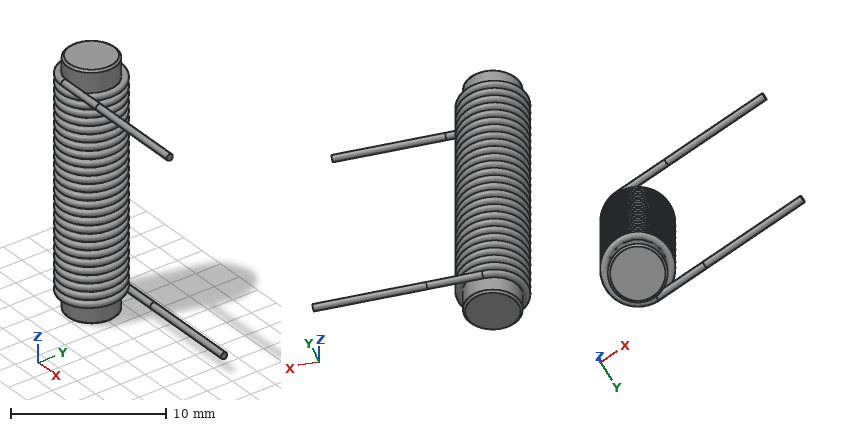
import cadquery as cq

core_length = 19.22
core_diameter = 3.86
core_chamfer = 0.15

wire_diameter = 0.5
full_turns = 26
turns = full_turns + 0.5
coil_height = 16.63
coil_radius = (core_diameter + wire_diameter) / 2
coil_pitch = coil_height / turns

root_length = 3.75
lead_reach = 11.4
tip_length = lead_reach - root_length


def make_core():
    rod = cq.Workplane("XY").circle(core_diameter / 2).extrude(core_length)
    rod = rod.translate((0, 0, -core_length / 2))
    return rod.edges().chamfer(core_chamfer)


def make_coil():
    """Sweep the wire section, kept in axial planes, up the helix from +Y to -Y."""
    helix = cq.Wire.makeHelix(coil_pitch, coil_height, coil_radius)
    section = cq.Workplane("XZ").center(coil_radius, 0).circle(wire_diameter / 2)
    winding = section.sweep(cq.Workplane(helix), isFrenet=True)
    winding = winding.rotate((0, 0, 0), (0, 0, 1), 90)
    return winding.translate((0, 0, -coil_height / 2))


def make_lead_piece(start_x, length, side):
    """Straight wire along +X; side is +1 for the lower +Y lead, -1 for the upper -Y lead."""
    start = (start_x, side * coil_radius, -side * coil_height / 2)
    return cq.Workplane("YZ", origin=start).circle(wire_diameter / 2).extrude(length)


core = make_core()
coil = make_coil()

lead_roots = []
lead_tips = []
for lead_side in (1, -1):
    lead_roots.append(make_lead_piece(0, root_length, lead_side).val())
    lead_tips.append(make_lead_piece(root_length, tip_length, lead_side).val())

result = cq.Compound.makeCompound([core.val(), coil.val(), *lead_roots, *lead_tips])